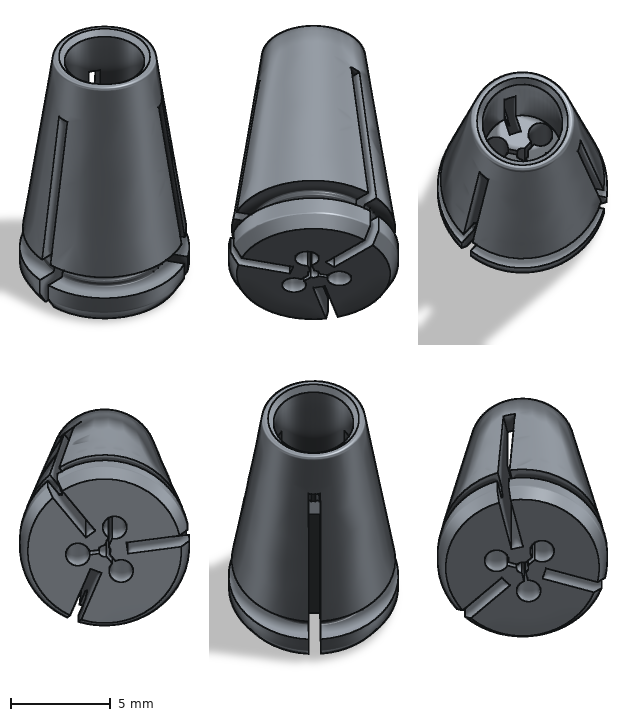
import math

import cadquery as cq

total_length = 13.6

flange_radius = 4.25
flange_height = 1.6
flange_chamfer_height = 0.7
flange_chamfer_angle = 30.0
flange_edge_fillet = 0.2

groove_width = 1.2
neck_radius = 3.26
throat_radius = 3.06
neck_land = 0.28
neck_fillet = 0.1

taper_angle = 8.0
taper_large_radius = 4.1
tip_fillet = 0.2

bore_radius = 2.0
bore_chamfer = 0.28
bore_floor_z = 7.6

clamp_hole_diameter = 0.6
relief_hole_diameter = 1.2
relief_hole_offset = 1.35
slit_width = 0.2

slot_count = 3
slot_width = 0.6
slot_inner_distance = 1.14
slot_top_z = 11.2

rim_tolerance = 0.01

slot_pitch = 360.0 / slot_count
taper_base_z = flange_height + groove_width
tip_radius = taper_large_radius - (total_length - taper_base_z) * math.tan(math.radians(taper_angle))
base_radius = flange_radius - flange_chamfer_height * math.tan(math.radians(flange_chamfer_angle))


def rim_at(radius, height):
    """Selector for the circular edge of a given radius and height about the Z axis."""
    reach = radius + rim_tolerance
    return cq.selectors.BoxSelector(
        (-reach, -reach, height - rim_tolerance),
        (reach, reach, height + rim_tolerance),
        boundingbox=True,
    )


def revolved_body():
    """Flange, grooved neck and taper, turned about the Z axis."""
    outline = (
        cq.Workplane("XZ")
        .lineTo(base_radius, 0)
        .lineTo(flange_radius, flange_chamfer_height)
        .lineTo(flange_radius, flange_height)
        .lineTo(neck_radius, flange_height)
        .lineTo(neck_radius, flange_height + neck_land)
        .threePointArc(
            (throat_radius, flange_height + groove_width / 2),
            (neck_radius, taper_base_z - neck_land),
        )
        .lineTo(neck_radius, taper_base_z)
        .lineTo(taper_large_radius, taper_base_z)
        .lineTo(tip_radius, total_length)
        .lineTo(0, total_length)
        .close()
    )
    body = outline.revolve(360, (0, 0, 0), (0, 1, 0))
    body = body.faces(">Z").edges().fillet(tip_fillet)
    body = body.edges(rim_at(flange_radius, flange_chamfer_height)).fillet(flange_edge_fillet)
    for height in (flange_height, flange_height + neck_land, taper_base_z - neck_land, taper_base_z):
        body = body.edges(rim_at(neck_radius, height)).fillet(neck_fillet)
    return body


def relief_bore():
    """Blind bore from the tip with a chamfered mouth."""
    mouth_radius = bore_radius + bore_chamfer
    return (
        cq.Workplane("XZ")
        .moveTo(0, bore_floor_z)
        .lineTo(bore_radius, bore_floor_z)
        .lineTo(bore_radius, total_length - bore_chamfer)
        .lineTo(mouth_radius, total_length)
        .lineTo(0, total_length)
        .close()
        .revolve(360, (0, 0, 0), (0, 1, 0))
    )


def outer_slot(angle):
    """Radial slot from the base up, stopping short of the axis."""
    return (
        cq.Workplane("XY")
        .box(flange_radius, slot_width, slot_top_z, centered=(False, True, False))
        .translate((slot_inner_distance, 0, 0))
        .rotate((0, 0, 0), (0, 0, 1), angle)
    )


def inner_slit(angle):
    """Relief hole and the narrow slit that joins it to the clamping hole."""
    hole = (
        cq.Workplane("XY")
        .center(relief_hole_offset, 0)
        .circle(relief_hole_diameter / 2)
        .extrude(total_length)
    )
    slit = cq.Workplane("XY").box(
        relief_hole_offset, slit_width, total_length, centered=(False, True, False)
    )
    return hole.union(slit).rotate((0, 0, 0), (0, 0, 1), angle)


clamp_hole = cq.Workplane("XY").circle(clamp_hole_diameter / 2).extrude(total_length)

result = revolved_body().cut(relief_bore()).cut(clamp_hole)
for index in range(slot_count):
    slot_angle = index * slot_pitch
    result = result.cut(outer_slot(slot_angle))
    result = result.cut(inner_slit(slot_angle + slot_pitch / 2))